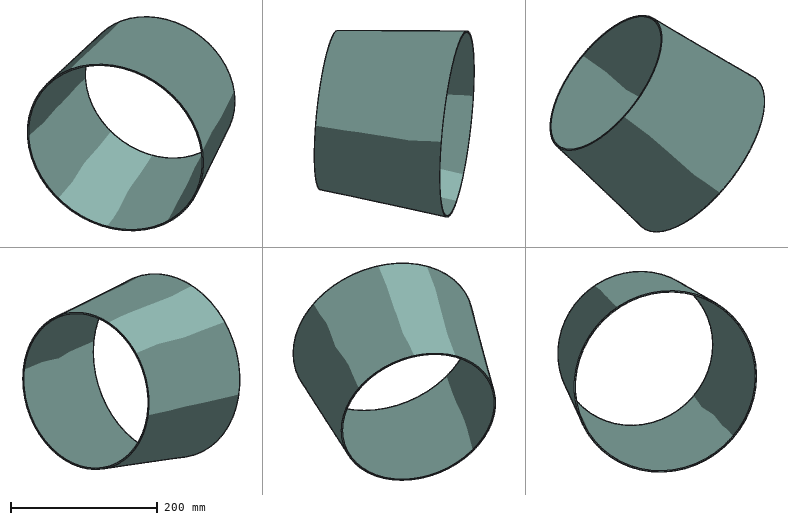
import cadquery as cq

large_diameter = 256.0
small_diameter = 219.1
length = 178.0
wall = 2.0

large_radius = large_diameter / 2
small_radius = small_diameter / 2
front_y = -length / 2
back_y = length / 2

wall_section = (
    cq.Workplane("XY")
    .moveTo(large_radius - wall, front_y)
    .lineTo(large_radius, front_y)
    .lineTo(small_radius, back_y)
    .lineTo(small_radius - wall, back_y)
    .close()
)

result = wall_section.revolve(360, (0, 0, 0), (0, 1, 0))